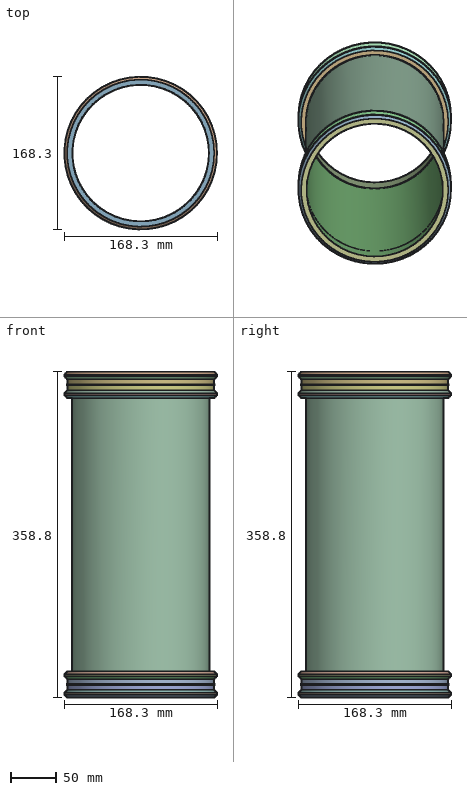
import cadquery as cq

total_length = 358.8
tube_bore_diameter = 150.0
tube_outer_diameter = 151.8

collar_length = 29.0
collar_diameter = 161.8
flange_diameter = 168.3
flange_rim_width = 2.0
bead_diameter = 163.0
bead_width = 1.5

bore_radius = tube_bore_diameter / 2
collar_radius = collar_diameter / 2
flange_radius = flange_diameter / 2
flange_slope = flange_radius - collar_radius
flange_width = flange_rim_width + 2 * flange_slope


def make_ring(outer_diameter, length, bottom):
    """Plain ring around Z with the common bore."""
    ring = cq.Workplane("XY").workplane(offset=bottom)
    return ring.circle(outer_diameter / 2).circle(bore_radius).extrude(length)


def make_flange(bottom):
    """Flange with a narrow rim and a sloping flank on each side."""
    rim_bottom = bottom + flange_slope
    rim_top = rim_bottom + flange_rim_width
    profile = cq.Workplane("XZ").polyline([
        (bore_radius, bottom),
        (collar_radius, bottom),
        (flange_radius, rim_bottom),
        (flange_radius, rim_top),
        (collar_radius, bottom + flange_width),
        (bore_radius, bottom + flange_width),
    ]).close()
    return profile.revolve(360, (0, 0, 0), (0, 1, 0))


def make_collar(bottom):
    """Collar with a flange at each end and a thin bead halfway."""
    collar = make_ring(collar_diameter, collar_length, bottom)
    for flange_bottom in (bottom, bottom + collar_length - flange_width):
        collar = collar.union(make_flange(flange_bottom))
    bead_bottom = bottom + (collar_length - bead_width) / 2
    return collar.union(make_ring(bead_diameter, bead_width, bead_bottom))


def make_flanged_tube():
    """Thin tube with a collar formed on its lower end."""
    tube_length = total_length - 2 * collar_length
    tube = make_ring(tube_outer_diameter, tube_length, collar_length)
    return make_collar(0).union(tube)


flanged_tube = make_flanged_tube()
upper_collar = make_collar(total_length - collar_length)

result = cq.Compound.makeCompound([flanged_tube.val(), upper_collar.val()])